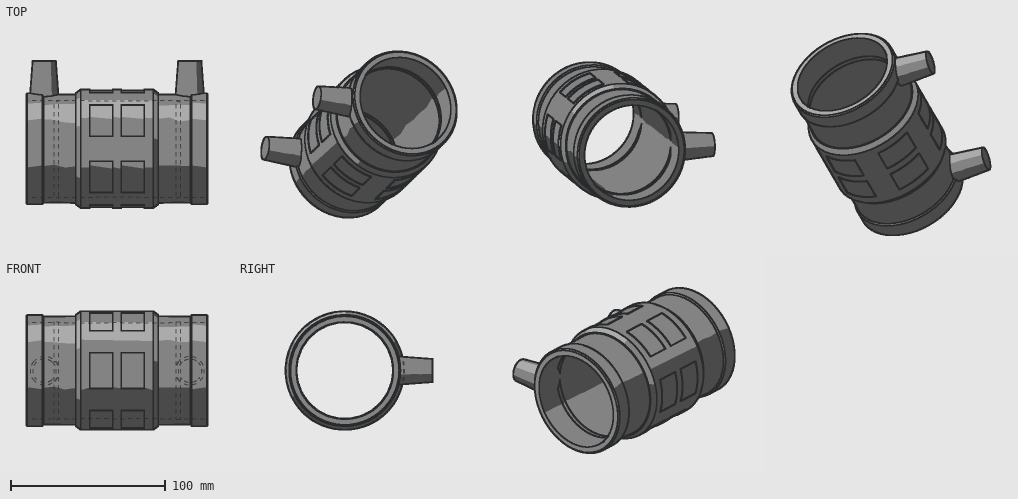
import cadquery as cq
import math

LENGTH = 118.0
COLLAR_DIAMETER = 72.3
COLLAR_LENGTH = 11.3
COLLAR_CHAMFER = 1.0
COLLAR_CHAMFER_DROP = 1.0
NECK_DIAMETER = 70.2
NECK_ROOT_DIAMETER = 70.7
BODY_DIAMETER = 77.0
BODY_LENGTH = 53.8
BODY_CHAMFER = 3.4
BODY_CHAMFER_DROP = 2.5

MOUTH_DIAMETER = 63.0
BORE_MIDDLE_DIAMETER = 62.4
GROOVE_DIAMETER = 63.2
GROOVE_INSET = 17.9
GROOVE_WIDTH = 3.1

WINDOW_COUNT = 6
WINDOW_LENGTH = 15.1
WINDOW_GAP = 5.4
WINDOW_HEIGHT = 23.1
WINDOW_DEPTH = 0.41
CUTTER_MARGIN = 1.2

TERMINAL_SPACING = 94.4
OVERALL_WIDTH = 95.5
TERMINAL_TIP_Y = OVERALL_WIDTH - BODY_DIAMETER / 2
TERMINAL_ROOT_Y = 29.5
TERMINAL_TIP_DIAMETER = 15.2
TERMINAL_ROOT_DIAMETER = 19.4


def make_sleeve():
    """Revolve the outer profile about the X axis."""
    half_profile = [
        (LENGTH / 2, COLLAR_DIAMETER / 2 - COLLAR_CHAMFER_DROP),
        (LENGTH / 2 - COLLAR_CHAMFER, COLLAR_DIAMETER / 2),
        (LENGTH / 2 - COLLAR_LENGTH + COLLAR_CHAMFER, COLLAR_DIAMETER / 2),
        (LENGTH / 2 - COLLAR_LENGTH, NECK_DIAMETER / 2),
        (BODY_LENGTH / 2, NECK_ROOT_DIAMETER / 2),
        (BODY_LENGTH / 2, BODY_DIAMETER / 2 - BODY_CHAMFER_DROP),
        (BODY_LENGTH / 2 - BODY_CHAMFER, BODY_DIAMETER / 2),
    ]
    mirrored = [(-x, radius) for x, radius in reversed(half_profile)]
    outline = [(LENGTH / 2, 0)] + half_profile + mirrored + [(-LENGTH / 2, 0)]
    return cq.Workplane("XY").polyline(outline).close().revolve(360, (0, 0, 0), (1, 0, 0))


def cylinder_x(diameter, length):
    """Cylinder on the X axis, centred on X = 0."""
    return cq.Workplane("YZ").circle(diameter / 2).extrude(length / 2, both=True)


def make_windows():
    """Wedges of a thin ring that are removed from the body surface."""
    floor_diameter = BODY_DIAMETER - 2 * WINDOW_DEPTH
    half_angle = math.asin(WINDOW_HEIGHT / floor_diameter)
    reach = BODY_DIAMETER
    wedge_outline = [
        (0, 0),
        (-reach, -reach * math.tan(half_angle)),
        (-reach, reach * math.tan(half_angle)),
    ]
    row_offset = (WINDOW_LENGTH + WINDOW_GAP) / 2
    ring = cylinder_x(BODY_DIAMETER + CUTTER_MARGIN, BODY_LENGTH).cut(cylinder_x(floor_diameter, BODY_LENGTH))
    wedges = cq.Workplane("YZ")
    for row_x in (-row_offset, row_offset):
        wedge = (
            cq.Workplane("YZ", origin=(row_x, 0, 0))
            .polyline(wedge_outline)
            .close()
            .extrude(WINDOW_LENGTH / 2, both=True)
        )
        for index in range(WINDOW_COUNT):
            angle = index * 360 / WINDOW_COUNT
            wedges = wedges.add(wedge.rotate((0, 0, 0), (1, 0, 0), angle))
    return ring.intersect(wedges.combine())


def make_terminal(x):
    """Solid tapered pin that runs from inside the bore to its +Y tip."""
    outline = [
        (x, TERMINAL_ROOT_Y),
        (x + TERMINAL_ROOT_DIAMETER / 2, TERMINAL_ROOT_Y),
        (x + TERMINAL_TIP_DIAMETER / 2, TERMINAL_TIP_Y),
        (x, TERMINAL_TIP_Y),
    ]
    return cq.Workplane("XY").polyline(outline).close().revolve(360, (x, 0, 0), (x, 1, 0))


def make_bore():
    """Through bore that narrows towards the middle."""
    mouth_radius = MOUTH_DIAMETER / 2
    middle_radius = BORE_MIDDLE_DIAMETER / 2
    outline = [
        (-LENGTH / 2, 0),
        (-LENGTH / 2, mouth_radius),
        (0, middle_radius),
        (LENGTH / 2, mouth_radius),
        (LENGTH / 2, 0),
    ]
    return cq.Workplane("XY").polyline(outline).close().revolve(360, (0, 0, 0), (1, 0, 0))


def make_groove(side):
    """Ring cutter for the groove on one side (-1 or 1)."""
    centre_x = side * (LENGTH / 2 - GROOVE_INSET - GROOVE_WIDTH / 2)
    return cylinder_x(GROOVE_DIAMETER, GROOVE_WIDTH).translate((centre_x, 0, 0))


result = make_sleeve().cut(make_windows())
for side in (-1, 1):
    result = result.cut(make_groove(side))
    result = result.union(make_terminal(side * TERMINAL_SPACING / 2))
result = result.cut(make_bore())